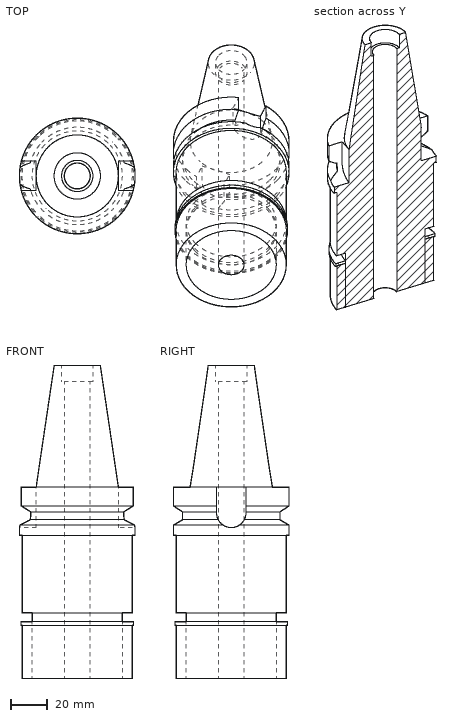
import cadquery as cq

total_height = 170.4
nut_top = 29.0
ring_top = 31.0
body_bottom = 35.8
flange_bottom = 77.9
groove_lower_rim = 83.5
groove_floor_bottom = 86.4
groove_floor_top = 90.7
groove_upper_rim = 93.9
flange_top = 104.1
taper_bottom = 105.0

flange_radius = 31.5
groove_radius = 26.5
body_radius = 30.0
neck_radius = 24.5
ring_radius = 30.7
taper_large_radius = 22.3
taper_small_radius = 12.6
bore_radius = 7.0
counterbore_radius = 8.5
counterbore_depth = 8.9

slot_width = 16.0
slot_floor_x = 22.3
slot_bottom = 82.1


def tube(outer_radius, inner_radius, bottom, top):
    """Plain ring about the Z axis."""
    return (
        cq.Workplane("XY", origin=(0, 0, bottom))
        .circle(outer_radius)
        .circle(inner_radius)
        .extrude(top - bottom)
    )


def drive_slot(side):
    """Cutter for a round-bottomed slot, open upward and outward; side is +1 or -1."""
    half_width = slot_width / 2
    arc_center = slot_bottom + half_width
    return (
        cq.Workplane("YZ", origin=(side * slot_floor_x, 0, 0))
        .moveTo(-half_width, total_height)
        .lineTo(-half_width, arc_center)
        .threePointArc((0, slot_bottom), (half_width, arc_center))
        .lineTo(half_width, total_height)
        .close()
        .extrude(side * flange_radius)
    )


def make_holder():
    """Taper shank, grooved flange, body and core, bored right through."""
    profile = [
        (bore_radius, 0),
        (neck_radius, 0),
        (neck_radius, body_bottom),
        (body_radius, body_bottom),
        (body_radius, flange_bottom),
        (flange_radius, flange_bottom),
        (flange_radius, groove_lower_rim),
        (groove_radius, groove_floor_bottom),
        (groove_radius, groove_floor_top),
        (flange_radius, groove_upper_rim),
        (flange_radius, flange_top),
        (taper_large_radius, flange_top),
        (taper_large_radius, taper_bottom),
        (taper_small_radius, total_height),
        (counterbore_radius, total_height),
        (counterbore_radius, total_height - counterbore_depth),
        (bore_radius, total_height - counterbore_depth),
    ]
    solid = cq.Workplane("XZ").polyline(profile).close().revolve(360, (0, 0, 0), (0, 1, 0))
    for side in (-1, 1):
        solid = solid.cut(drive_slot(side))
    return solid


holder = make_holder()

stop_ring = tube(ring_radius, neck_radius, nut_top, ring_top)

clamping_nut = tube(body_radius, neck_radius, 0, nut_top)

result = cq.Compound.makeCompound([holder.val(), stop_ring.val(), clamping_nut.val()])